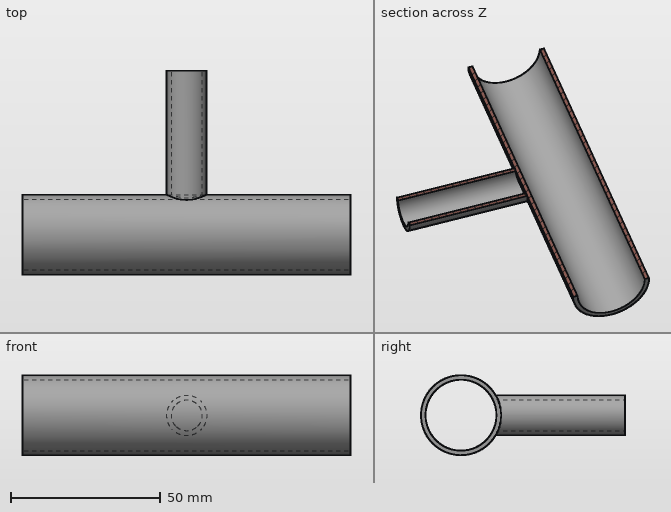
import cadquery as cq

wall = 1.6

run_length = 110.0
run_outer_diameter = 26.9

branch_outer_diameter = 13.5
branch_reach = 55.0


def run_cylinder(diameter):
    """Full-length cylinder along X, centred on the origin."""
    left_end = cq.Workplane("YZ", origin=(-run_length / 2, 0, 0))
    return left_end.circle(diameter / 2).extrude(run_length)


def branch_cylinder(diameter):
    """Cylinder along +Y from the run tube axis to the free end of the branch."""
    return cq.Workplane("XZ").circle(diameter / 2).extrude(-branch_reach)


def make_run_tube():
    bore_diameter = run_outer_diameter - 2 * wall
    return run_cylinder(run_outer_diameter).cut(run_cylinder(bore_diameter))


def make_branch_tube():
    bore_diameter = branch_outer_diameter - 2 * wall
    tube = branch_cylinder(branch_outer_diameter).cut(branch_cylinder(bore_diameter))
    return tube.cut(run_cylinder(run_outer_diameter))


run_tube = make_run_tube()
branch_tube = make_branch_tube()

result = cq.Compound.makeCompound([run_tube.solids().val(), branch_tube.solids().val()])